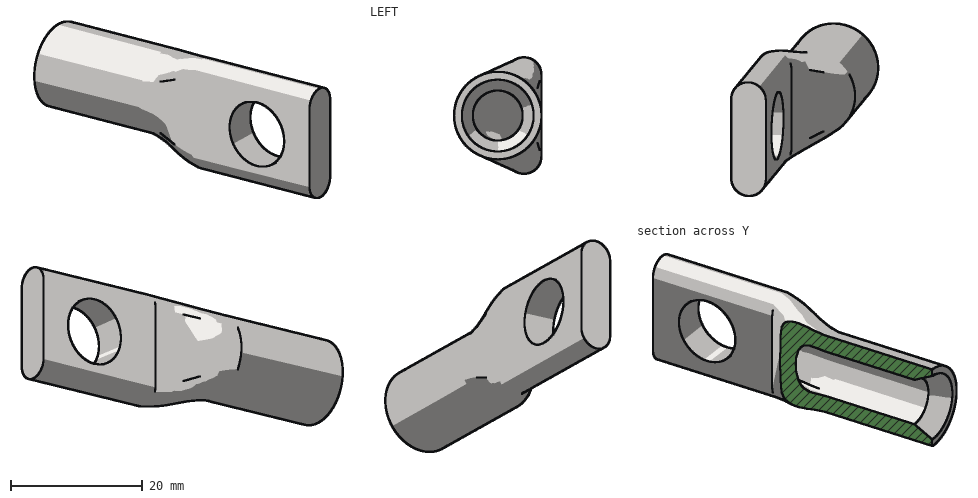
import cadquery as cq
import math

length = 52.05
barrel_radius = 6.65
barrel_length = 19.85
neck_length = 10.35
palm_thickness = 5.35
palm_width = 17.75
palm_start = barrel_length + neck_length
palm_y = palm_thickness / 2 - barrel_radius
palm_length = length - palm_start

bore_radius = 3.8
mouth_radius = 5.45
mouth_depth = 3.3

hole_diameter = 10.3
hole_x = 42.1

flat_half_angle = math.radians(30)
neck_steps = 6
easing = 0.4

pinch_thickness = 0.3
pinch_width = 10.4
pinch_half_angle = math.radians(75)


def blend(start, end, share):
    return start + (end - start) * share


def neck_section(x, share, radius, thickness, width, half_angle):
    """Closed section between a barrel circle (share 0) and a round-ended palm slot (share 1)."""
    end_radius = thickness / 2
    corner_y = blend(radius * math.cos(half_angle), end_radius, share)
    corner_z = blend(radius * math.sin(half_angle), width / 2 - end_radius, share)
    side_y = blend(radius, end_radius, share)
    tip_z = blend(radius, width / 2, share)
    outline = cq.Workplane("YZ", origin=(x, palm_y * share, 0)).moveTo(-corner_y, -corner_z)

    for side in (-1, 1):
        broad_side_end = (side * corner_y, -side * corner_z)
        if share < 1:
            outline = outline.threePointArc((side * side_y, 0), broad_side_end)
        else:
            outline = outline.lineTo(*broad_side_end)
        outline = outline.threePointArc((0, -side * tip_z), (-side * corner_y, -side * corner_z))
    return outline.close().wire().val()


def neck_solid(radius, thickness, width, half_angle):
    """Smooth loft from the barrel circle to the slot shape at the palm."""
    sections = []
    for step in range(neck_steps):
        travel = step / neck_steps
        share = travel - easing * math.sin(2 * math.pi * travel) / (2 * math.pi)
        x = barrel_length + neck_length * travel
        sections.append(neck_section(x, share, radius, thickness, width, half_angle))
    sections.append(neck_section(palm_start, 1, radius, thickness, width, half_angle))
    return cq.Workplane(cq.Solid.makeLoft(sections))


barrel = cq.Workplane("YZ").circle(barrel_radius).extrude(barrel_length)
neck = neck_solid(barrel_radius, palm_thickness, palm_width, flat_half_angle)
palm = (
    cq.Workplane("YZ", origin=(palm_start, palm_y, 0))
    .slot2D(palm_width, palm_thickness, 90)
    .extrude(palm_length)
)

bore = cq.Workplane("YZ").circle(bore_radius).extrude(barrel_length)
mouth = cq.Workplane(cq.Solid.makeCone(mouth_radius, bore_radius, mouth_depth, dir=cq.Vector(1, 0, 0)))
pinch = neck_solid(bore_radius, pinch_thickness, pinch_width, pinch_half_angle)
hole = (
    cq.Workplane("XZ", origin=(hole_x, 0, 0))
    .circle(hole_diameter / 2)
    .extrude(barrel_radius, both=True)
)

result = barrel.union(neck).union(palm).cut(bore).cut(mouth).cut(pinch).cut(hole)